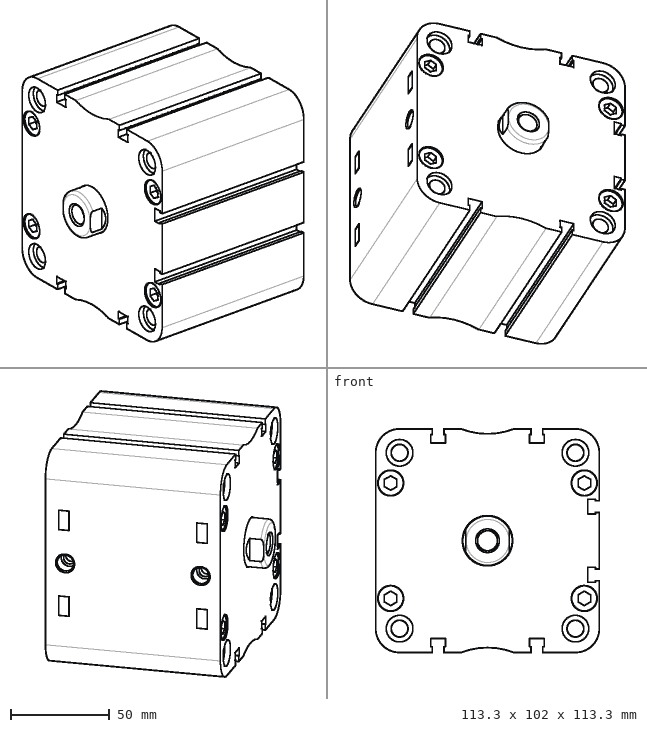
import cadquery as cq
import math


body_side = 113.3
body_length = 92.0
half_side = body_side / 2
mount_pitch = 89.0
corner_radius = half_side - mount_pitch / 2

hollow_width = 26.8
hollow_depth = 2.5

slot_neck_width = 5.8
slot_wide_width = 7.4
flat_slot_pitch = 50.0
flat_slot_depth = 7.1
flat_slot_neck_depth = 3.0
side_slot_pitch = 34.5
side_slot_depth = 5.9
side_slot_neck_depth = 2.0

mount_hole_diameter = 8.38
mount_counterbore_diameter = 13.5
mount_counterbore_depth = 3.0

screw_pitch_x = 98.0
screw_pitch_z = 58.4
screw_head_diameter = 12.7
screw_recess_diameter = 13.1
screw_head_height = 6.0
screw_head_sink = 0.8
hex_sides = 6
hex_across_flats = 6.3
hex_depth = 4.0

rod_diameter = 25.0
rod_length = 10.0
rod_tip_round = 1.6
rod_gap_diameter = 25.5
rod_gap_depth = 3.0
flats_width = 22.0
flats_length = 7.3
flats_chamfer = (rod_diameter - flats_width) / 2
thread_diameter = 10.11
thread_mouth_diameter = 12.0
thread_depth = 20.0
drill_point_angle = 118.0

port_inset = 10.4
port_mouth_diameter = 9.98
port_diameter = 8.57
port_depth = 8.0
port_drill_diameter = 6.0
port_drill_depth = 12.0

label_length = 10.4
label_width = 5.4
label_depth = 0.2
label_inset = 9.7
label_offset = 23.0


def front_plane(y=0.0):
    """Plane facing -Y, with local x along +X and local y along +Z."""
    return cq.Workplane("XZ", origin=(0, y, 0))


def front_cylinder(diameter, y_start, length):
    """Cylinder about the Y axis that runs from y_start toward +Y."""
    return front_plane(y_start).circle(diameter / 2).extrude(-length)


def revolve_about_y(points):
    """Solid of revolution about Y from (radius, y) points."""
    return cq.Workplane("XY").polyline(points).close().revolve(360, (0, 0, 0), (0, 1, 0))


def make_body():
    body = front_plane().rect(body_side, body_side).extrude(-body_length)
    return body.edges("|Y").fillet(corner_radius)


def hollow_cutters():
    radius = (hollow_width**2 / 4 + hollow_depth**2) / (2 * hollow_depth)
    axis_z = half_side - hollow_depth + radius
    centres = [(0, axis_z), (0, -axis_z)]
    return front_plane().pushPoints(centres).circle(radius).extrude(-body_length)


def t_slot(depth, neck_depth):
    """T-slot open toward +X, with its mouth on the +X face and centred on Z = 0."""
    outside = 1.0
    wide_depth = depth - neck_depth
    neck = front_plane().center(half_side + outside - (depth + outside) / 2, 0)
    neck = neck.rect(depth + outside, slot_neck_width).extrude(-body_length)
    wide = front_plane().center(half_side - neck_depth - wide_depth / 2, 0)
    wide = wide.rect(wide_depth, slot_wide_width).extrude(-body_length)
    return neck.union(wide)


def cut_slots(body):
    side_slot = t_slot(side_slot_depth, side_slot_neck_depth)
    flat_slot = t_slot(flat_slot_depth, flat_slot_neck_depth)
    for sign in (-1, 1):
        body = body.cut(side_slot.translate((0, 0, sign * side_slot_pitch / 2)))
        for turn in (-90, 90):
            slot = flat_slot.rotate((0, 0, 0), (0, 1, 0), turn)
            body = body.cut(slot.translate((sign * flat_slot_pitch / 2, 0, 0)))
    return body


def mount_hole_cutters():
    """Four through holes, counterbored from the front face."""
    spots = front_plane().rect(mount_pitch, mount_pitch, forConstruction=True).vertices()
    holes = spots.circle(mount_hole_diameter / 2).extrude(-body_length)
    counterbores = spots.circle(mount_counterbore_diameter / 2).extrude(-mount_counterbore_depth)
    return holes.union(counterbores)


def screw_cutters():
    """Recess around and above each screw head, plus its hexagon socket with points up and down."""
    recess = front_cylinder(screw_recess_diameter, 0, screw_head_sink + screw_head_height)
    recess = recess.cut(front_cylinder(screw_head_diameter, screw_head_sink, screw_head_height))
    half_sector = 180 / hex_sides
    hex_across_corners = hex_across_flats / math.cos(math.radians(half_sector))
    socket = front_plane(screw_head_sink).polygon(hex_sides, hex_across_corners).extrude(-hex_depth)
    socket = socket.rotate((0, 0, 0), (0, 1, 0), half_sector)
    cutter = recess.union(socket)
    cutters = cq.Workplane("XY")
    for x in (-screw_pitch_x / 2, screw_pitch_x / 2):
        for z in (-screw_pitch_z / 2, screw_pitch_z / 2):
            cutters = cutters.add(cutter.translate((x, 0, z)))
    return cutters.combine()


def flat_cutter():
    """Removes the +X side of the rod tip down to the flat, with a 45 degree run-out."""
    flat_x = flats_width / 2
    tip_y = -rod_length
    flat_end_y = tip_y + flats_length
    points = [
        (flat_x, tip_y),
        (flat_x, flat_end_y),
        (flat_x + flats_chamfer, flat_end_y + flats_chamfer),
        (flat_x + flats_chamfer, tip_y),
    ]
    return cq.Workplane("XY").polyline(points).close().extrude(rod_diameter / 2, both=True)


def thread_cutter():
    """Tapped hole in the rod tip, with a countersunk mouth and a drill point."""
    tip_y = -rod_length
    radius = thread_diameter / 2
    mouth_radius = thread_mouth_diameter / 2
    bottom_y = tip_y + thread_depth
    point_height = radius / math.tan(math.radians(drill_point_angle / 2))
    return revolve_about_y([
        (0, tip_y),
        (mouth_radius, tip_y),
        (radius, tip_y + mouth_radius - radius),
        (radius, bottom_y),
        (0, bottom_y + point_height),
    ])


def make_rod():
    rod = front_cylinder(rod_diameter, -rod_length, rod_length + rod_gap_depth)
    rod = rod.faces("<Y").edges().fillet(rod_tip_round)
    flat = flat_cutter()
    return rod.cut(flat).cut(flat.mirror("YZ"))


def port_cutter():
    """Stepped port along +X from the -X face, with a chamfered mouth."""
    radius = port_diameter / 2
    mouth_radius = port_mouth_diameter / 2
    drill_radius = port_drill_diameter / 2
    cutter = revolve_about_y([
        (0, 0),
        (mouth_radius, 0),
        (radius, mouth_radius - radius),
        (radius, port_depth),
        (drill_radius, port_depth),
        (drill_radius, port_drill_depth),
        (0, port_drill_depth),
    ])
    return cutter.rotate((0, 0, 0), (0, 0, 1), -90).translate((-half_side, 0, 0))


def cut_ports_and_labels(body):
    port = port_cutter()
    label = cq.Workplane("XY").box(2 * label_depth, label_width, label_length)
    for y in (port_inset, body_length - port_inset):
        body = body.cut(port.translate((0, y, 0)))
    for y in (label_inset, body_length - label_inset):
        for z in (-label_offset, label_offset):
            body = body.cut(label.translate((-half_side, y, z)))
    return body


body = make_body().cut(hollow_cutters())
body = cut_slots(body)
body = body.cut(mount_hole_cutters()).cut(screw_cutters())
body = cut_ports_and_labels(body)
body = body.cut(front_cylinder(rod_gap_diameter, 0, rod_gap_depth))

result = body.union(make_rod()).cut(thread_cutter())